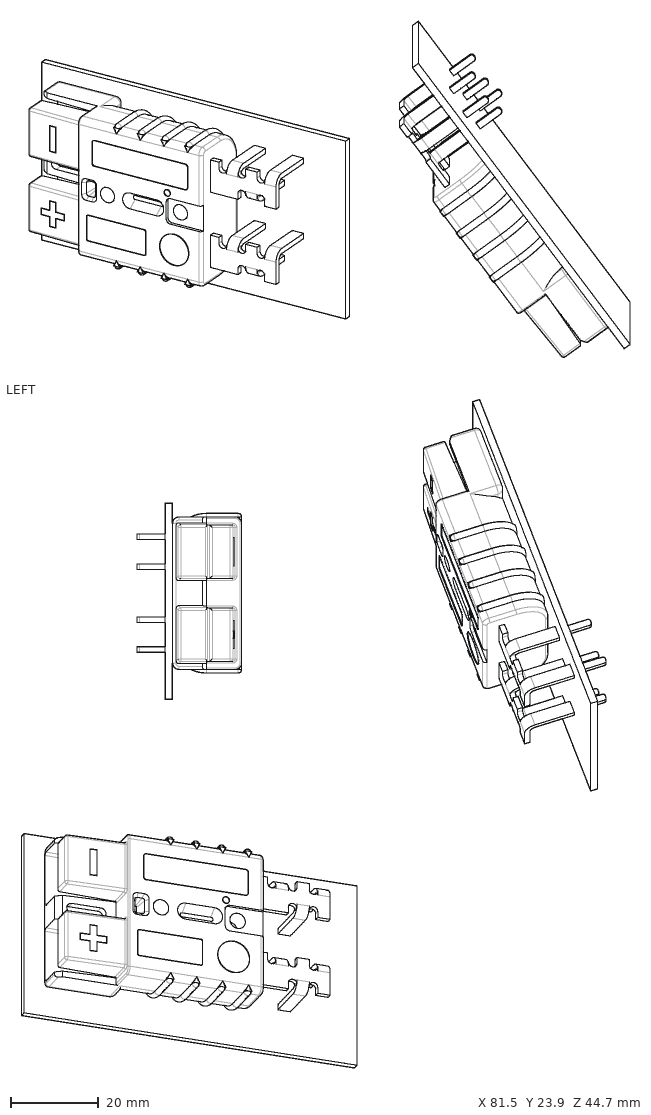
import cadquery as cq
import math


BOARD_LENGTH = 81.45
BOARD_HEIGHT = 44.72
BOARD_THICKNESS = 1.7
BOARD_CENTER_Z = -1.84

OVERALL_DEPTH = 23.86
HOUSING_DEPTH = 15.75
HALF_HEIGHT = 17.4
SPLIT_DEPTH = 7.8
MOUTH_X = -35.9
SHOULDER_X = -21.25
HOUSING_END_X = 11.9
SHELL_END_X = -18.75
EDGE_ROUND = 1.5
END_ROUND = 0.8
MOUTH_ROUND = 0.75
SHOULDER_ROUND = 0.35
FLANK_ROUND = SPLIT_DEPTH - 0.01
LIP_LENGTH = 1.5
LIP_DEPTH = 1.0

CONTACT_Z = 9.45
BLOCK_HEIGHT = 12.2
BLOCK_BACK_DEPTH = 7.95
BLOCK_FRONT_DEPTH = 14.3
BLOCK_DRAFT = 2.2
BLOCK_ROOT_ROUND = 0.4
BLOCK_BASE_MARGIN = 0.05
BLOCK_BASE = 1.0
BLOCK_ROUND = 0.6
POCKET_WALL = 0.85
POCKET_HEIGHT = 13.2
POCKET_DRAFT = 1.8
POCKET_ROUND = 0.6
GLYPH_BAR_LENGTH = 6.4
GLYPH_BAR_WIDTH = 1.7
PLUS_BAR_WIDTH = 1.6
GLYPH_X = -29.15
MARK_DEPTH = 0.2

RIB_RADIUS = 0.82
RIB_PITCH = 6.35
RIB_COUNT = 4
FIRST_RIB_X = -10.95

STRAP_FRONT_DEPTH = 12.0
STRAP_THICKNESS = 1.3
STRAP_HALF_HEIGHT = 4.05
STRAP_EMBED = 2.0
STRAP_START_X = HOUSING_END_X - STRAP_EMBED
BEND_RADIUS = 2.5
TAB_WIDTH = 3.05
TAB_PITCH = 5.1
FIRST_TAB_X = 17.75
PIN_WIDTH = 1.6
PIN_ROUND = 0.6
TAB_SIDES = (1, -1, 1)

UPPER_FIELD = (-4.75, 9.58, 25.6, 6.45, 0.7)
LOWER_FIELD = (-11.1, -9.6, 15.85, 6.45, 0.4)
ROUND_FIELD = (4.45, -9.45, 3.88)
SMALL_HOLE = (2.6, 4.4, 0.8)
ROUND_HOLE_XS = (-13.35, 5.7)
ROUND_HOLE_RADIUS = 1.88
ROUND_HOLE_DEPTH = 6.0
LATCH_X = 2.35
LATCH_HALF_HEIGHT = 3.2
LATCH_CORNER = 1.15
LATCH_DEPTH = 0.8
SLOT_X = -3.8
SLOT_LENGTH = 11.0
SLOT_WIDTH = 4.0
SLOT_FLOOR_WIDTH = 1.0
SLOT_DEPTH = 2.2
KEYWAY_X = -18.25
KEYWAY_WIDTH = 4.0
KEYWAY_HEIGHT = 5.45
KEYWAY_CORNER = 1.2
KEYWAY_FLARE = 0.8
KEYWAY_SLOPE = 0.7
KEYWAY_DEPTH = 4.0

TONGUE_SLOT_X = -28.5
TONGUE_SLOT_LENGTH = 9.55
TONGUE_SLOT_WIDTH = 2.5
TONGUE_SLOT_DEPTH = 2.0


def box(x0, x1, y0, y1, z0, z1):
    """Box between two opposite corners."""
    return cq.Workplane("XY").box(x1 - x0, y1 - y0, z1 - z0, centered=False).translate((x0, y0, z0))


def face_plane(depth, x=0.0, z=0.0):
    """Sketch plane parallel to the board, facing -Y, at a depth in front of the board."""
    return cq.Workplane(cq.Plane(origin=(x, -depth, z), xDir=(1, 0, 0), normal=(0, -1, 0)))


def make_board():
    """Plain rectangular circuit board."""
    z0 = BOARD_CENTER_Z - BOARD_HEIGHT / 2
    return box(-BOARD_LENGTH / 2, BOARD_LENGTH / 2, 0, BOARD_THICKNESS, z0, z0 + BOARD_HEIGHT)


def make_shell():
    """Rear half of the mouth end: a box with rounded back edges and a bevelled lip."""
    shell = box(MOUTH_X, SHELL_END_X, -SPLIT_DEPTH, 0, -HALF_HEIGHT, HALF_HEIGHT)
    shell = shell.edges("|X and >Y").fillet(EDGE_ROUND)
    shell = shell.faces(">X").edges("not <Y").fillet(EDGE_ROUND)
    shell = shell.faces("<X").edges("not <Y").fillet(MOUTH_ROUND)
    lip = (
        cq.Workplane("XY", origin=(0, 0, -HALF_HEIGHT))
        .polyline([
            (MOUTH_X, -SPLIT_DEPTH),
            (MOUTH_X + LIP_LENGTH, -SPLIT_DEPTH),
            (MOUTH_X, -SPLIT_DEPTH + LIP_DEPTH),
        ])
        .close()
        .extrude(2 * HALF_HEIGHT)
    )
    return shell.cut(lip)


def make_body():
    """Main body: squared in front, with quarter-round flanks down to the board."""
    front = box(SHOULDER_X, HOUSING_END_X, -HOUSING_DEPTH, -SPLIT_DEPTH, -HALF_HEIGHT, HALF_HEIGHT)
    front = front.edges("|X and <Y").fillet(EDGE_ROUND)
    front = front.faces("<X").edges("not >Y").fillet(SHOULDER_ROUND)
    back = box(SHOULDER_X, HOUSING_END_X, -SPLIT_DEPTH, 0, -HALF_HEIGHT, HALF_HEIGHT)
    back = back.edges("|X and >Y").fillet(FLANK_ROUND)
    return front.union(back).faces(">X").edges().fillet(END_ROUND)


def make_rib(x, side):
    """Round grip rib on the top (side 1) or bottom (side -1), bent round the rear flank.

    The front end is a dome standing on a wedge that runs out on the rounded front edge.
    """
    dome_depth = HOUSING_DEPTH - RIB_RADIUS
    straight = face_plane(SPLIT_DEPTH, x, HALF_HEIGHT).circle(RIB_RADIUS).extrude(dome_depth - SPLIT_DEPTH)
    dome = cq.Workplane("XY").sphere(RIB_RADIUS).translate((x, -dome_depth, HALF_HEIGHT))
    wedge = (
        face_plane(SPLIT_DEPTH, x, HALF_HEIGHT)
        .polyline([(-RIB_RADIUS, 0), (RIB_RADIUS, 0), (0, -EDGE_ROUND)])
        .close()
        .extrude(HOUSING_DEPTH - SPLIT_DEPTH)
    )
    axis_z = HALF_HEIGHT - SPLIT_DEPTH
    bend = (
        face_plane(SPLIT_DEPTH, x)
        .center(0, HALF_HEIGHT)
        .circle(RIB_RADIUS)
        .revolve(90, (0, axis_z - HALF_HEIGHT), (-1, axis_z - HALF_HEIGHT))
    )
    rib = straight.union(bend).union(dome).union(wedge)
    return rib if side > 0 else rib.mirror("XY")


def make_block(z):
    """Contact block projecting from the shoulder, drafted front and back, root and tip rounded."""
    half = BLOCK_HEIGHT / 2
    inset = (SHOULDER_X - MOUTH_X) * math.tan(math.radians(BLOCK_DRAFT))
    block = (
        cq.Workplane("XY", origin=(0, 0, z - half))
        .polyline([
            (SHOULDER_X, -BLOCK_BACK_DEPTH),
            (MOUTH_X, -BLOCK_BACK_DEPTH - inset),
            (MOUTH_X, -BLOCK_FRONT_DEPTH + inset),
            (SHOULDER_X, -BLOCK_FRONT_DEPTH),
        ])
        .close()
        .extrude(BLOCK_HEIGHT)
        .faces("<X or <Y")
        .edges("not >X")
        .fillet(BLOCK_ROUND)
    )
    margin = BLOCK_ROOT_ROUND + BLOCK_BASE_MARGIN
    base = box(
        SHOULDER_X, SHOULDER_X + BLOCK_BASE,
        -BLOCK_FRONT_DEPTH - margin, -BLOCK_BACK_DEPTH + margin,
        z - half - margin, z + half + margin,
    )
    block = base.union(block)
    root = block.faces("<X[1]").edges(cq.selectors.BoxSelector(
        (SHOULDER_X - margin, -BLOCK_FRONT_DEPTH - margin / 2, z - half - margin / 2),
        (SHOULDER_X + margin, -BLOCK_BACK_DEPTH + margin / 2, z + half + margin / 2),
    ))
    return root.fillet(BLOCK_ROOT_ROUND)


def make_pocket(z):
    """Drafted mating pocket in the shell, open to the mouth and to the front."""
    half_depth = HOUSING_DEPTH / 2
    center_y = -POCKET_WALL - half_depth
    return (
        cq.Workplane(cq.Plane(origin=(MOUTH_X, center_y, z), xDir=(0, 1, 0), normal=(1, 0, 0)))
        .rect(2 * half_depth, POCKET_HEIGHT)
        .extrude(SHOULDER_X - MOUTH_X, taper=POCKET_DRAFT)
        .edges("not <X")
        .fillet(POCKET_ROUND)
    )


def make_glyph(z, is_plus):
    """Polarity mark sunk square into the drafted front of a contact block."""
    draft = math.radians(BLOCK_DRAFT)
    face_depth = BLOCK_FRONT_DEPTH - (SHOULDER_X - GLYPH_X) * math.tan(draft)
    plane = cq.Plane(
        origin=(GLYPH_X, -face_depth, z),
        xDir=(math.cos(draft), -math.sin(draft), 0),
        normal=(-math.sin(draft), -math.cos(draft), 0),
    )
    glyph = cq.Workplane(plane).rect(GLYPH_BAR_WIDTH, GLYPH_BAR_LENGTH).extrude(-MARK_DEPTH)
    if is_plus:
        glyph = glyph.union(cq.Workplane(plane).rect(GLYPH_BAR_LENGTH, PLUS_BAR_WIDTH).extrude(-MARK_DEPTH))
    return glyph


def front_recess(x, z, length, height, corner, depth):
    """Shallow rectangular recess with rounded corners in the front face."""
    recess = face_plane(HOUSING_DEPTH, x, z).rect(length, height).extrude(-depth)
    return recess.edges("|Y").fillet(corner)


def front_hole(x, z, radius, depth):
    """Round blind hole in the front face."""
    return face_plane(HOUSING_DEPTH, x, z).circle(radius).extrude(-depth)


def make_slot():
    """Slot with walls sloping down to a narrow floor."""
    slope = math.degrees(math.atan2((SLOT_WIDTH - SLOT_FLOOR_WIDTH) / 2, SLOT_DEPTH))
    return face_plane(HOUSING_DEPTH, SLOT_X).slot2D(SLOT_LENGTH, SLOT_WIDTH).extrude(-SLOT_DEPTH, taper=slope)


def rounded_rect_loft(depth, rim, floor, drop):
    """Tapered pocket between two rounded rectangles, each (width, height, corner)."""
    top = cq.Sketch().rect(rim[0], rim[1]).vertices().fillet(rim[2])
    bottom = cq.Sketch().rect(floor[0], floor[1]).vertices().fillet(floor[2])
    return (
        face_plane(depth, KEYWAY_X)
        .placeSketch(top, bottom.moved(cq.Location(cq.Vector(0, 0, -drop))))
        .loft(ruled=True)
    )


def make_keyway():
    """Upright pocket with a flared rim."""
    rim = (KEYWAY_WIDTH, KEYWAY_HEIGHT, KEYWAY_CORNER)
    inset = 2 * KEYWAY_FLARE
    throat = (KEYWAY_WIDTH - inset, KEYWAY_HEIGHT - inset, KEYWAY_CORNER / 2)
    inset += 2 * KEYWAY_SLOPE
    floor = (KEYWAY_WIDTH - inset, KEYWAY_HEIGHT - inset, KEYWAY_CORNER / 4)
    flare = rounded_rect_loft(HOUSING_DEPTH, rim, throat, KEYWAY_FLARE)
    return flare.union(
        rounded_rect_loft(HOUSING_DEPTH - KEYWAY_FLARE, throat, floor, KEYWAY_DEPTH - KEYWAY_FLARE)
    )


def make_terminal():
    """Flat strap with three tabs bent back through the board: two on top, one below."""
    end_x = FIRST_TAB_X + 2 * TAB_PITCH + TAB_WIDTH / 2
    strap = box(
        STRAP_START_X, end_x,
        -STRAP_FRONT_DEPTH, -STRAP_FRONT_DEPTH + STRAP_THICKNESS,
        -STRAP_HALF_HEIGHT, STRAP_HALF_HEIGHT,
    )
    tabs = []
    notch = TAB_PITCH - TAB_WIDTH
    for index, side in enumerate(TAB_SIDES):
        x = FIRST_TAB_X + index * TAB_PITCH
        strap = strap.cut(make_relief(x - TAB_PITCH / 2, notch, 1))
        if side < 0:
            for offset in (-TAB_PITCH / 2, TAB_PITCH / 2):
                strap = strap.cut(make_relief(x + offset, notch, side))
        half = TAB_WIDTH / 2
        edge = side * STRAP_HALF_HEIGHT
        bend_line = edge - side * BEND_RADIUS
        strap = strap.cut(
            box(x - half, x + half, -STRAP_FRONT_DEPTH, 0, min(edge, bend_line), max(edge, bend_line))
        )
        tabs.append(make_tab(x, side))
    for tab in tabs:
        strap = strap.union(tab)
    return strap


def make_relief(x, width, side):
    """Round-ended notch cut from the upper (1) or lower (-1) edge of the strap."""
    center = side * (STRAP_HALF_HEIGHT - BEND_RADIUS + width / 2)
    return face_plane(STRAP_FRONT_DEPTH, x, center).circle(width / 2).extrude(-STRAP_THICKNESS).union(
        face_plane(STRAP_FRONT_DEPTH, x, center + side * BEND_RADIUS / 2)
        .rect(width, BEND_RADIUS)
        .extrude(-STRAP_THICKNESS)
    )


def make_tab(x, side):
    """Tab bent through a right angle, running to the board and ending in a narrow pin."""
    inner = BEND_RADIUS - STRAP_THICKNESS
    front = -STRAP_FRONT_DEPTH
    bend_z = STRAP_HALF_HEIGHT - BEND_RADIUS
    bend_y = front + BEND_RADIUS
    diagonal = math.sqrt(0.5)
    tab = (
        cq.Workplane("YZ", origin=(x - TAB_WIDTH / 2, 0, 0))
        .moveTo(front, bend_z)
        .threePointArc(
            (bend_y - BEND_RADIUS * diagonal, bend_z + BEND_RADIUS * diagonal),
            (bend_y, STRAP_HALF_HEIGHT),
        )
        .lineTo(0, STRAP_HALF_HEIGHT)
        .lineTo(0, STRAP_HALF_HEIGHT - STRAP_THICKNESS)
        .lineTo(bend_y, STRAP_HALF_HEIGHT - STRAP_THICKNESS)
        .threePointArc(
            (bend_y - inner * diagonal, bend_z + inner * diagonal),
            (front + STRAP_THICKNESS, bend_z),
        )
        .close()
        .extrude(TAB_WIDTH)
    )
    pin_tip = OVERALL_DEPTH - HOUSING_DEPTH
    pin = box(
        x - PIN_WIDTH / 2, x + PIN_WIDTH / 2, 0, pin_tip,
        STRAP_HALF_HEIGHT - STRAP_THICKNESS, STRAP_HALF_HEIGHT,
    )
    tab = tab.union(pin.edges("|Z and >Y").fillet(PIN_ROUND))
    return tab if side > 0 else tab.mirror("XY")


def make_housing():
    """Connector housing with pockets, contact blocks, ribs and front markings."""
    housing = make_shell().union(make_body())
    for z in (CONTACT_Z, -CONTACT_Z):
        housing = housing.cut(make_pocket(z)).union(make_block(z))
        housing = housing.cut(make_glyph(z, is_plus=z < 0))
    tongue_slot = face_plane(SPLIT_DEPTH, TONGUE_SLOT_X).slot2D(TONGUE_SLOT_LENGTH, TONGUE_SLOT_WIDTH)
    housing = housing.cut(tongue_slot.extrude(-TONGUE_SLOT_DEPTH))

    for index in range(RIB_COUNT):
        for side in (1, -1):
            housing = housing.union(make_rib(FIRST_RIB_X + index * RIB_PITCH, side))

    housing = housing.cut(front_recess(*UPPER_FIELD, MARK_DEPTH))
    housing = housing.cut(front_recess(*LOWER_FIELD, MARK_DEPTH))
    housing = housing.cut(front_hole(*ROUND_FIELD, MARK_DEPTH))

    latch = box(LATCH_X, HOUSING_END_X, -HOUSING_DEPTH, LATCH_DEPTH - HOUSING_DEPTH,
                -LATCH_HALF_HEIGHT, LATCH_HALF_HEIGHT)
    housing = housing.cut(latch.edges("|Y and <X").fillet(LATCH_CORNER))

    housing = housing.cut(front_hole(*SMALL_HOLE, MARK_DEPTH))
    for x in ROUND_HOLE_XS:
        housing = housing.cut(front_hole(x, 0, ROUND_HOLE_RADIUS, ROUND_HOLE_DEPTH))
    return housing.cut(make_slot()).cut(make_keyway())


result = make_board().union(make_housing())
for terminal_z in (CONTACT_Z, -CONTACT_Z):
    result = result.union(make_terminal().translate((0, 0, terminal_z)))